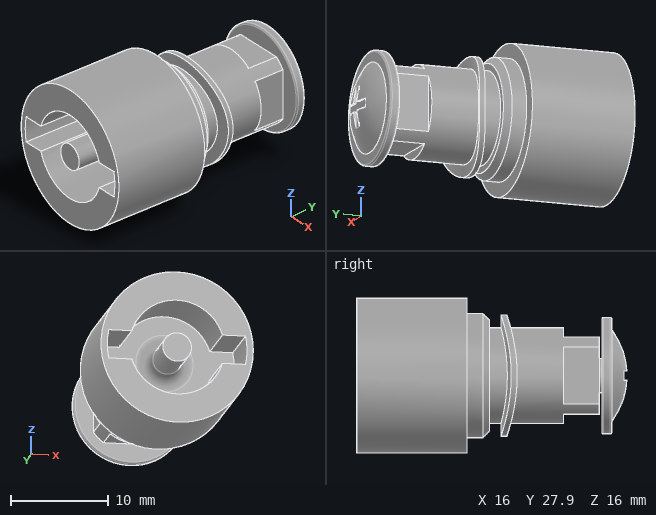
import cadquery as cq
import math

TOTAL_LENGTH = 27.85

SLEEVE_RADIUS = 8.0
SLEEVE_END = 11.4
SOCKET_RADIUS = 5.0
SOCKET_DEPTH = 7.0
KEYWAY_WIDTH = 3.0
KEYWAY_REACH = 7.33
PIN_RADIUS = 1.5
PIN_ROOT_FILLET = 1.5

COLLAR_RADIUS = 6.4
COLLAR_END = 13.7
COLLAR_CHAMFER = 0.7

SHAFT_RADIUS = 4.95
SQUARE_START = 21.35
SQUARE_WIDTH = 8.0
SQUARE_END = 25.02

WASHER_RADIUS = 6.27
WASHER_THICKNESS = 0.6
WASHER_LOW = 14.88
WASHER_SAG = 1.05

NECK_RADIUS = 1.78
HEAD_RADIUS = 6.02
HEAD_START = 25.27
RIM_THICKNESS = 1.03
RIM_FILLET = 0.17
DOME_BASE_RADIUS = 4.76
RECESS_WIDTH = 0.92
RECESS_DEPTH = 0.28


def cylinder(radius, start, end):
    """Solid cylinder on the Y axis between two Y positions."""
    plane = cq.Workplane("XZ", origin=(0, start, 0))
    return plane.circle(radius).extrude(start - end)


def make_sleeve():
    """Sleeve whose socket has two keyways and a pin with a filleted root."""
    socket = cylinder(SOCKET_RADIUS, 0, SOCKET_DEPTH)
    keyways = cylinder(KEYWAY_REACH, 0, SOCKET_DEPTH).intersect(
        cq.Workplane("XY").box(2 * SLEEVE_RADIUS, 2 * TOTAL_LENGTH, KEYWAY_WIDTH)
    )
    fillet_start = SOCKET_DEPTH - PIN_ROOT_FILLET
    mid_offset = PIN_ROOT_FILLET * (1 - math.sqrt(0.5))
    pin = (
        cq.Workplane("XY")
        .lineTo(PIN_RADIUS, 0)
        .lineTo(PIN_RADIUS, fillet_start)
        .threePointArc(
            (PIN_RADIUS + mid_offset, SOCKET_DEPTH - mid_offset),
            (PIN_RADIUS + PIN_ROOT_FILLET, SOCKET_DEPTH),
        )
        .lineTo(0, SOCKET_DEPTH)
        .close()
        .revolve(360, (0, 0, 0), (0, 1, 0))
    )
    sleeve = cylinder(SLEEVE_RADIUS, 0, SLEEVE_END)
    return sleeve.cut(socket.union(keyways)).union(pin)


def make_collar():
    """Collar with a chamfered edge facing the shaft."""
    collar = cylinder(COLLAR_RADIUS, SLEEVE_END, COLLAR_END)
    return collar.faces(">Y").chamfer(COLLAR_CHAMFER)


def make_shaft():
    """Round shaft that ends in a square with rounded corners."""
    square = cylinder(SHAFT_RADIUS, SQUARE_START, SQUARE_END).intersect(
        cq.Workplane("XY").box(SQUARE_WIDTH, 2 * TOTAL_LENGTH, SQUARE_WIDTH)
    )
    return cylinder(SHAFT_RADIUS, COLLAR_END, SQUARE_START).union(square)


def make_washer():
    """Disc cut from a curved strip, lowest at X = 0 and raised towards both X ends."""
    low_end = WASHER_LOW + WASHER_SAG
    high_end = low_end + WASHER_THICKNESS
    strip = (
        cq.Workplane("XY")
        .moveTo(-WASHER_RADIUS, low_end)
        .threePointArc((0, WASHER_LOW), (WASHER_RADIUS, low_end))
        .lineTo(WASHER_RADIUS, high_end)
        .threePointArc((0, WASHER_LOW + WASHER_THICKNESS), (-WASHER_RADIUS, high_end))
        .close()
        .extrude(WASHER_RADIUS, both=True)
    )
    return strip.intersect(cylinder(WASHER_RADIUS, COLLAR_END, SQUARE_START))


def make_head():
    """Domed screw head with a cross recess, carried on a short neck."""
    neck = cylinder(NECK_RADIUS, SQUARE_END, HEAD_START)
    rim_end = HEAD_START + RIM_THICKNESS
    rim = cylinder(HEAD_RADIUS, HEAD_START, rim_end).edges().fillet(RIM_FILLET)

    corner_radius = RECESS_WIDTH / math.sqrt(2)
    corner_height = TOTAL_LENGTH - rim_end
    corner_above_center = (DOME_BASE_RADIUS**2 + corner_height**2 - corner_radius**2) / (2 * corner_height)
    sphere_radius = math.hypot(corner_radius, corner_above_center)
    sphere_center = TOTAL_LENGTH - corner_above_center
    dome = (
        cq.Workplane("XY", origin=(0, sphere_center, 0))
        .sphere(sphere_radius)
        .intersect(cylinder(HEAD_RADIUS, HEAD_START + RIM_THICKNESS / 2, 2 * TOTAL_LENGTH))
    )
    head = neck.union(rim).union(dome)
    for length_x, length_z in ((HEAD_RADIUS, RECESS_WIDTH), (RECESS_WIDTH, HEAD_RADIUS)):
        slot = cq.Workplane("XY", origin=(0, TOTAL_LENGTH, 0)).box(length_x, 2 * RECESS_DEPTH, length_z)
        head = head.cut(slot)
    return head


result = make_sleeve()
for piece in (make_collar(), make_shaft(), make_washer(), make_head()):
    result = result.union(piece)